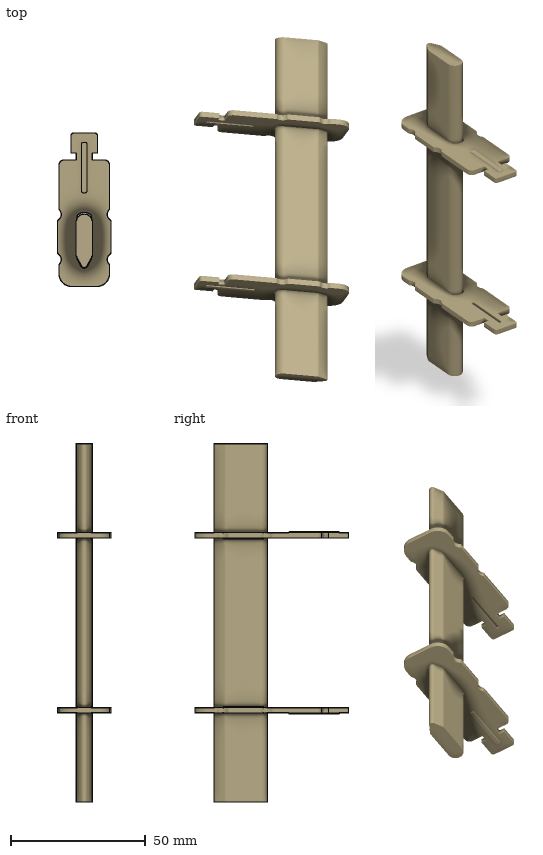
import cadquery as cq
import math

blade_length = 133.0
blade_depth = 20.0
blade_thickness = 6.0
wedge_half_angle = 28.5
tip_radius = 1.2
shoulder_radius = 1.6

guard_thickness = 2.0
guard_gap = 62.9
guard_length = 57.0
guard_front_y = -7.0

body_length = 47.1
body_width = 18.9
grip_width = 20.0
front_corner_radius = 4.9
rear_corner_radius = 2.0
neck_width = 6.0
tab_length = 7.5
tab_width = 10.0
tab_corner_radius = 1.0

notch_radius = 2.4
notch_lip_radius = 1.0
notch_floor_width = 17.2
front_notch_y = 3.0
rear_notch_y = 19.8

seat_thickness = 5.3
seat_height = 2.4

hole_front_clearance = 0.1
hole_back_clearance = 0.5

bead_front_y = 27.8
bead_length = 18.8
bead_width = 2.0
bead_height = 0.4
bead_edge_radius = 0.33
bead_wall = 0.4
bead_corner_radius = 0.7
groove_depth = 0.9

wedge_slope = math.tan(math.radians(wedge_half_angle))
wedge_sine = math.sin(math.radians(wedge_half_angle))
apex_y = tip_radius - tip_radius / wedge_sine
back_center_y = blade_depth - blade_thickness / 2
guard_inner_z = guard_gap / 2
guard_outer_z = guard_inner_z + guard_thickness
body_rear_y = guard_front_y + body_length
guard_rear_y = guard_front_y + guard_length
tab_front_y = guard_rear_y - tab_length


def blade_prism(front_clearance, back_clearance, bottom_z, height):
    """Upright prism with the blade's cross-section, grown at its wedge and at its round back."""
    front_y = apex_y - front_clearance / wedge_sine
    half = blade_thickness / 2
    shoulder_y = front_y + half / wedge_slope
    back_radius = half + back_clearance
    prism = (
        cq.Workplane("XY", origin=(0, 0, bottom_z))
        .moveTo(0, front_y)
        .lineTo(half, shoulder_y)
        .lineTo(half, back_center_y)
        .lineTo(-half, back_center_y)
        .lineTo(-half, shoulder_y)
        .close()
        .extrude(height)
    )
    prism = prism.edges("|Z").edges(">>Y[1]").fillet(shoulder_radius)
    prism = prism.edges("|Z").edges("<Y").fillet(tip_radius + front_clearance)
    back = cq.Workplane("XY", origin=(0, back_center_y, bottom_z)).circle(back_radius).extrude(height)
    return prism.union(back)


def make_blade():
    blade = blade_prism(0, 0, -blade_length / 2, blade_length)
    seat_z = guard_outer_z - seat_height / 2
    for side_x in (-1, 1):
        for side_z in (-1, 1):
            seat = cq.Workplane("XY").box(seat_thickness, blade_depth, seat_height)
            seat = seat.translate((side_x * seat_thickness, blade_depth / 2, side_z * seat_z))
            blade = blade.cut(seat)
    return blade


def plate(width, front_y, rear_y):
    """Rectangular plate as thick as a guard, centred on X = 0, between two Y positions."""
    return (
        cq.Workplane("XY", origin=(0, (front_y + rear_y) / 2, guard_inner_z))
        .rect(width, rear_y - front_y)
        .extrude(guard_thickness)
    )


def guard_blank():
    """Guard outline: notched body, neck and tab."""
    body = plate(body_width, guard_front_y, body_rear_y)
    body = body.edges("|Z and <Y").fillet(front_corner_radius)
    body = body.edges("|Z and >Y").fillet(rear_corner_radius)
    body = body.union(plate(grip_width, front_notch_y, rear_notch_y))
    notch_points = [
        (side * (notch_floor_width / 2 + notch_radius), y)
        for side in (-1, 1)
        for y in (front_notch_y, rear_notch_y)
    ]
    notches = (
        cq.Workplane("XY", origin=(0, 0, guard_inner_z))
        .pushPoints(notch_points)
        .circle(notch_radius)
        .extrude(guard_thickness)
    )
    body = body.cut(notches)
    for x, y in notch_points:
        around_notch = cq.selectors.BoxSelector(
            (x - notch_radius, y - notch_radius, guard_inner_z),
            (x + notch_radius, y + notch_radius, guard_outer_z),
        )
        body = body.edges("|Z").edges(around_notch).fillet(notch_lip_radius)
    neck = plate(neck_width, body_rear_y, tab_front_y)
    tab = plate(tab_width, tab_front_y, guard_rear_y).edges("|Z and >Y").fillet(tab_corner_radius)
    return body.union(neck).union(tab)


def bead_strip(inset, height):
    """Strip along Y with rounded corners, smaller than the bead by an inset, rising from the inner face."""
    return (
        cq.Workplane("XY", origin=(0, bead_front_y + bead_length / 2, guard_inner_z))
        .rect(bead_width - 2 * inset, bead_length - 2 * inset)
        .extrude(height)
        .edges("|Z")
        .fillet(bead_corner_radius - inset)
    )


def blade_hole():
    """Hole for the blade: narrowed to the seats, with clearance behind the round back."""
    hole = blade_prism(hole_front_clearance, hole_back_clearance, guard_inner_z, guard_thickness)
    return hole.intersect(plate(seat_thickness, guard_front_y, body_rear_y))


def make_guard(side):
    """Guard above (side = 1) or below (side = -1) the plane Z = 0, with its bead facing outward."""
    rib = bead_strip(0, guard_thickness + bead_height).faces(">Z").edges().fillet(bead_edge_radius)
    groove = bead_strip(bead_wall, groove_depth)
    guard = guard_blank().cut(blade_hole()).union(rib).cut(groove)
    return guard if side > 0 else guard.mirror("XY")


blade = make_blade()
guards = [make_guard(side) for side in (1, -1)]

result = cq.Compound.makeCompound([blade.val(), *[guard.val() for guard in guards]])